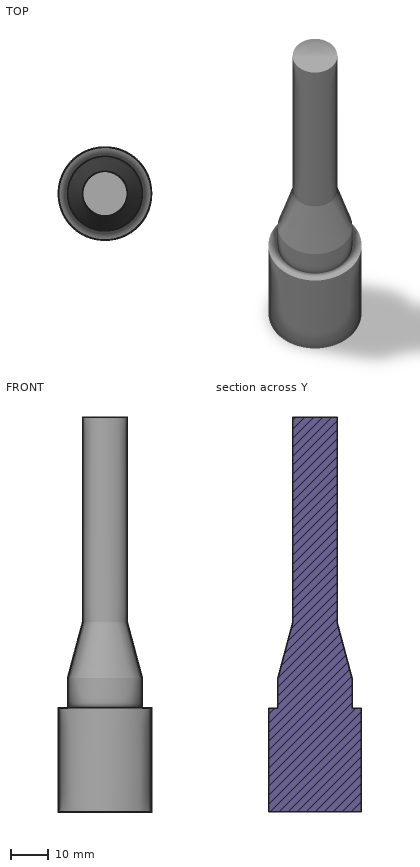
import cadquery as cq

total_length = 106.0
base_length = 28.0
collar_length = 8.0
taper_length = 15.0
stem_length = total_length - base_length - collar_length - taper_length

base_diameter = 25.0
collar_diameter = 20.0
stem_diameter = 12.0

base_radius = base_diameter / 2
collar_radius = collar_diameter / 2
stem_radius = stem_diameter / 2

collar_bottom = base_length
taper_bottom = collar_bottom + collar_length
stem_bottom = taper_bottom + taper_length
stem_top = stem_bottom + stem_length

result = (
    cq.Workplane("XZ")
    .moveTo(0, 0)
    .lineTo(base_radius, 0)
    .lineTo(base_radius, collar_bottom)
    .lineTo(collar_radius, collar_bottom)
    .lineTo(collar_radius, taper_bottom)
    .lineTo(stem_radius, stem_bottom)
    .lineTo(stem_radius, stem_top)
    .lineTo(0, stem_top)
    .close()
    .revolve(360, (0, 0, 0), (0, 1, 0))
)